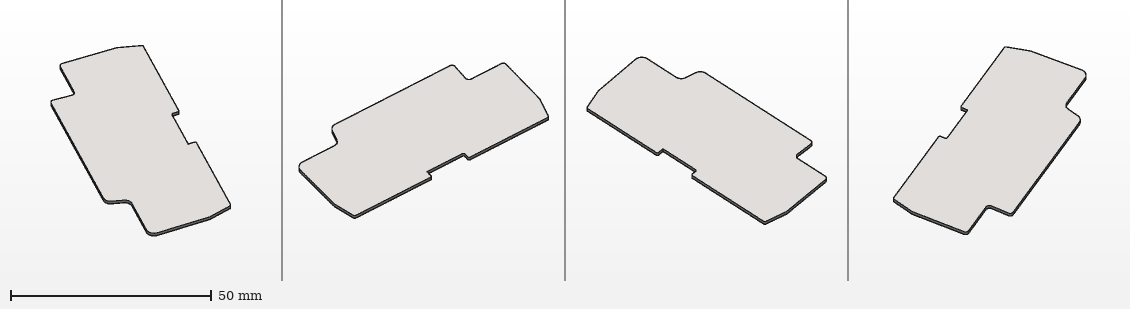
import cadquery as cq
import math

length = 63.0
depth = 28.65
thickness = 1.0

taper_angle = math.radians(15)
shoulder_y = 22.3
shoulder_radius = 0.5
shoulder_inset = (depth - shoulder_y) * math.tan(taper_angle)

notch_left = 26.2
notch_right = 37.4
notch_floor = depth - 2.1
notch_radius = 0.4

left_ledge_y = 6.8
left_wall_front_x = 10.85
left_wall_back_x = 11.1
left_corner_radius = 0.8
left_step_radius = 1.0

right_ledge_y = 5.9
right_wall_front_x = 48.25
right_wall_back_x = right_wall_front_x + right_ledge_y * math.tan(taper_angle)
right_wall_radius = 1.9

side_lean = math.radians(1)
right_corner_radius = 2.1
right_corner_x = length + right_corner_radius * ((1 + math.sin(side_lean)) / math.cos(side_lean) - 1)
right_shoulder_x = right_corner_x - (shoulder_y - right_ledge_y) * math.tan(side_lean)

corners = [
    (left_wall_front_x, 0, left_corner_radius),
    (right_wall_front_x, 0, right_wall_radius),
    (right_wall_back_x, right_ledge_y, right_wall_radius),
    (right_corner_x, right_ledge_y, right_corner_radius),
    (right_shoulder_x, shoulder_y, 0),
    (right_shoulder_x - shoulder_inset, depth, shoulder_radius),
    (notch_right, depth, notch_radius),
    (notch_right, notch_floor, 0),
    (notch_left, notch_floor, notch_radius),
    (notch_left, depth, notch_radius),
    (shoulder_inset, depth, shoulder_radius),
    (0, shoulder_y, 0),
    (0, left_ledge_y, left_corner_radius),
    (left_wall_back_x, left_ledge_y, left_step_radius),
]

plate = cq.Workplane("XY").polyline([(x, y) for x, y, _ in corners]).close().extrude(thickness)

for x, y, radius in corners:
    if radius > 0:
        corner_edge = cq.selectors.NearestToPointSelector((x, y, thickness / 2))
        plate = plate.edges("|Z").edges(corner_edge).fillet(radius)

result = plate